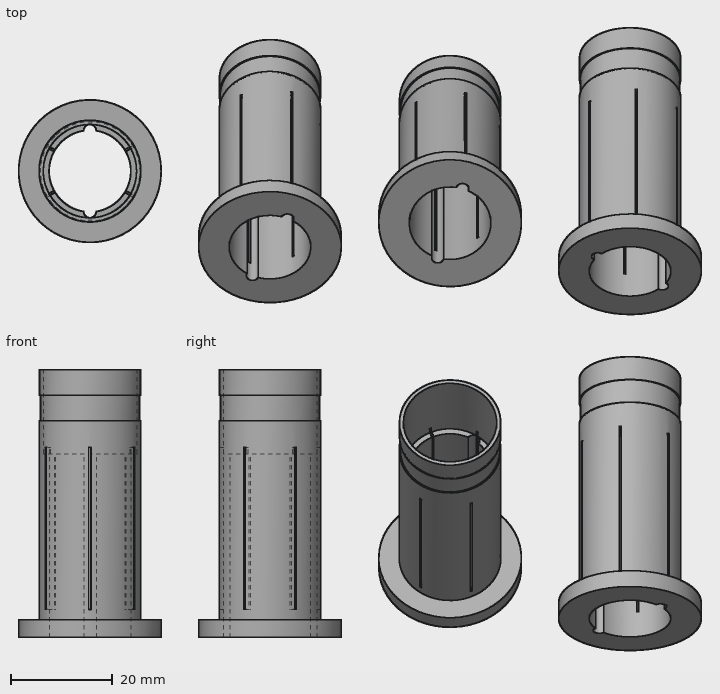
import cadquery as cq

flange_diameter = 28.0
flange_thickness = 3.5

total_height = 52.5
body_diameter = 20.0
neck_diameter = 19.5
neck_length = 5.0
collar_diameter = 19.9
collar_length = 5.0
neck_top = total_height - collar_length
neck_bottom = neck_top - neck_length

guide_diameter = 16.0
upper_bore_diameter = 18.3
ledge_height = 36.0

slit_count = 6
slit_width = 0.4
slit_bottom = 5.5
slit_top = 37.3
first_slit_angle = 30.0

keyway_radius = 1.2
keyway_center_offset = 7.95


def cylinder(diameter, bottom, top):
    """Upright cylinder on the tube axis between two heights."""
    return cq.Workplane("XY").workplane(offset=bottom).circle(diameter / 2).extrude(top - bottom)


def make_outside():
    """Solid flange, body, neck and collar stacked along the axis."""
    flange = cylinder(flange_diameter, 0, flange_thickness)
    body = cylinder(body_diameter, 0, neck_bottom)
    neck = cylinder(neck_diameter, neck_bottom, neck_top)
    collar = cylinder(collar_diameter, neck_top, total_height)
    return flange.union(body).union(neck).union(collar)


def make_bore():
    """Cutter for the guide bore and the wider bore above the ledge."""
    guide_bore = cylinder(guide_diameter, 0, ledge_height)
    upper_bore = cylinder(upper_bore_diameter, ledge_height, total_height)
    return guide_bore.union(upper_bore)


def make_keyways():
    """Cutter for both keyways: one slot across the axis, up to the ledge."""
    slot_length = 2 * (keyway_center_offset + keyway_radius)
    return cq.Workplane("XY").slot2D(slot_length, 2 * keyway_radius, 90).extrude(ledge_height)


def make_slit(angle):
    """Thin radial cutter reaching from the axis past the tube wall."""
    reach = body_diameter
    height = slit_top - slit_bottom
    slit = cq.Workplane("XY").box(reach, slit_width, height, centered=(False, True, False))
    return slit.translate((0, 0, slit_bottom)).rotate((0, 0, 0), (0, 0, 1), angle)


result = make_outside().cut(make_bore()).cut(make_keyways())
for index in range(slit_count):
    slit_angle = first_slit_angle + index * 360 / slit_count
    result = result.cut(make_slit(slit_angle))